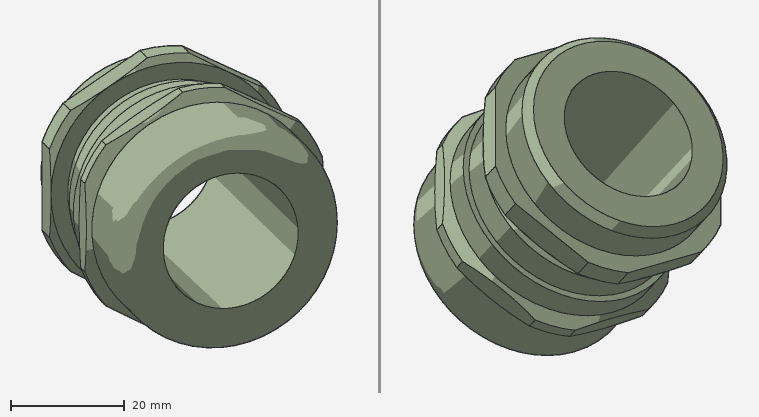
import cadquery as cq

length = 46.2
across_flats = 44.0
corner_diameter = 46.95
bore_diameter = 25.0

thread_diameter = 40.0
groove_diameter = 37.8
cap_diameter = 42.3

thread_chamfer = 1.5
body_hex_start = 8.0
body_hex_end = 12.95
body_hex_bevel = 0.85
collar_start = 15.95
collar_chamfer = (thread_diameter - groove_diameter) / 2
cap_start = 22.65
cap_hex_start = 27.85
cap_hex_end = 32.75
cap_hex_bevel = 1.3
cap_round = 5.0


def disc(start, end, diameter):
    """Cylinder along X between two stations."""
    plane = cq.Workplane("YZ", origin=(start, 0, 0))
    return plane.circle(diameter / 2).extrude(end - start)


def hexagon(start, end, envelope):
    """Hexagon with flats at +Y and -Y, its corners trimmed by a turned envelope."""
    plane = cq.Workplane("YZ", origin=(start, 0, 0))
    prism = plane.polygon(6, across_flats, circumscribed=True).extrude(end - start)
    return prism.intersect(envelope)


def turned(profile):
    """Solid turned about X from (station, radius) points."""
    outline = [(profile[0][0], 0), *profile, (profile[-1][0], 0)]
    return cq.Workplane("XY").polyline(outline).close().revolve(360, (0, 0, 0), (1, 0, 0))


thread = disc(0, body_hex_end, thread_diameter).faces("<X").chamfer(thread_chamfer)
groove = disc(body_hex_start, cap_start, groove_diameter)
collar = disc(collar_start, cap_start, thread_diameter).faces("<X").edges().chamfer(collar_chamfer)
cap = disc(cap_start, length, cap_diameter).faces(">X").edges().fillet(cap_round)

corner_radius = corner_diameter / 2
body_hex = hexagon(body_hex_start, body_hex_end, turned([
    (body_hex_start, corner_radius),
    (body_hex_end - body_hex_bevel, corner_radius),
    (body_hex_end, across_flats / 2),
]))

cap_hex = hexagon(cap_hex_start, cap_hex_end, turned([
    (cap_hex_start, cap_diameter / 2),
    (cap_hex_start + cap_hex_bevel, corner_radius),
    (cap_hex_end - cap_hex_bevel, corner_radius),
    (cap_hex_end, cap_diameter / 2),
]))

gland = thread.union(groove).union(collar).union(cap).union(body_hex).union(cap_hex)
gland = gland.cut(disc(0, length, bore_diameter))

result = gland.translate((-length / 2, 0, 0))